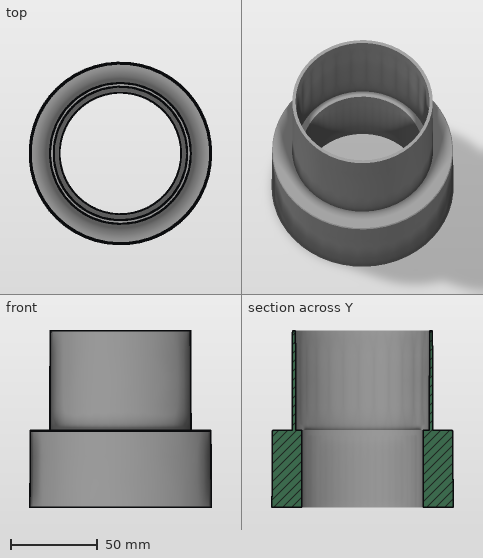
import cadquery as cq

total_height = 102.0
collar_height = 44.5
ledge_height = collar_height

collar_base_radius = 52.5
collar_top_radius = 52.2
bevel = 0.5

spigot_base_radius = 40.7
spigot_draft = 0.2
spigot_top_radius = spigot_base_radius - spigot_draft
spigot_wall = 1.9
bore_top_radius = spigot_top_radius - spigot_wall
bore_ledge_radius = bore_top_radius - spigot_draft

passage_radius = 35.0

half_section = [
    (passage_radius, 0),
    (collar_base_radius, 0),
    (collar_top_radius, collar_height - bevel),
    (collar_top_radius - bevel, collar_height),
    (spigot_base_radius, collar_height),
    (spigot_top_radius, total_height),
    (bore_top_radius, total_height),
    (bore_ledge_radius, ledge_height),
    (passage_radius, ledge_height),
]

result = cq.Workplane("XZ").polyline(half_section).close().revolve(360, (0, 0, 0), (0, 1, 0))